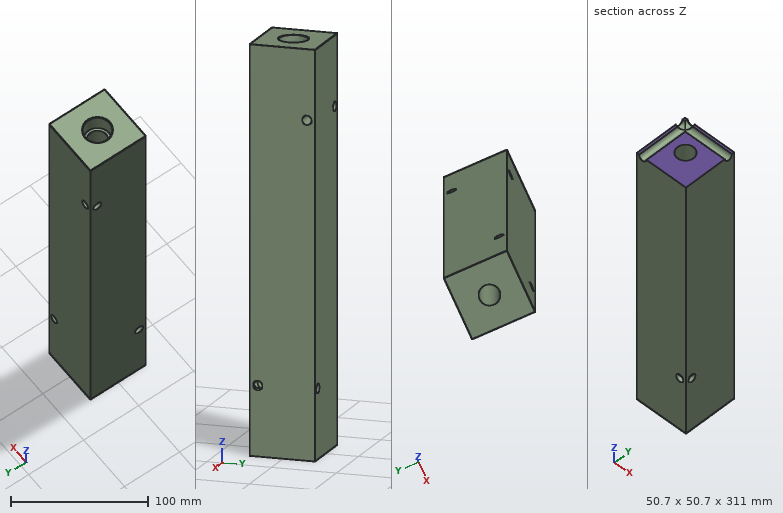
import cadquery as cq

length = 311.0
side = 50.7
edge_chamfer = 0.3

bore_diameter = 16.0
socket_top_diameter = 21.5
socket_floor_diameter = 20.5
socket_depth = 13.5
mouth_diameter = 22.7
mouth_depth = 0.37

cross_hole_diameter = 7.2
cross_hole_offset = 19.0
cross_hole_height = 101.7


def make_bar():
    """Square bar with every outer edge lightly chamfered."""
    bar = cq.Workplane("XY").box(side, side, length)
    return bar.edges().chamfer(edge_chamfer)


def make_bore():
    """Solid of revolution removed along the axis, open at both ends of the bar."""
    top = length / 2
    half_profile = [
        (0, top),
        (mouth_diameter / 2, top),
        (socket_top_diameter / 2, top - mouth_depth),
        (socket_floor_diameter / 2, top - socket_depth),
        (bore_diameter / 2, top - socket_depth),
        (bore_diameter / 2, -top),
        (0, -top),
    ]
    return cq.Workplane("XZ").polyline(half_profile).close().revolve(360, (0, 0), (0, 1))


def make_cross_holes():
    """Through holes near diagonally opposite long edges, at mirrored heights."""
    upper_along_y = (-cross_hole_offset, cross_hole_height)
    lower_along_y = (cross_hole_offset, -cross_hole_height)
    upper_along_x = (cross_hole_offset, cross_hole_height)
    lower_along_x = (-cross_hole_offset, -cross_hole_height)
    holes = cq.Workplane("XY")
    for plane, centres in (
        ("XZ", [upper_along_y, lower_along_y]),
        ("YZ", [upper_along_x, lower_along_x]),
    ):
        drill = cq.Workplane(plane).pushPoints(centres).circle(cross_hole_diameter / 2)
        holes = holes.add(drill.extrude(side / 2, both=True))
    return holes.combine()


result = make_bar().cut(make_bore()).cut(make_cross_holes())